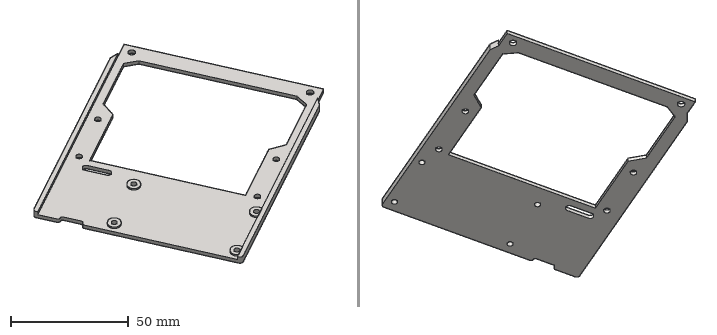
import cadquery as cq

LENGTH = 115.0
WIDTH = 94.0
HEIGHT = 3.6
PLATE_THICKNESS = 2.0

RAIL_WIDTH = 2.2
RAIL_END_Y = 107.0
RAIL_TAPER_LENGTH = 3.8
FRONT_CORNER_RADIUS = 1.5

WINDOW_FRONT_Y = 40.0
WINDOW_BACK_Y = 107.0
WINDOW_NARROW_HALF = 35.0
WINDOW_WIDE_HALF = 41.0
WINDOW_BACK_HALF = 35.4
STEP_START_Y = 71.0
STEP_END_Y = 76.1
BACK_CORNER_Y = 103.3

HOLE_X = 40.0
BACK_HOLE_Y = 111.1
BACK_HOLE_DIAMETER = 3.1
SIDE_HOLE_YS = (40.9, 66.0)
SIDE_HOLE_DIAMETER = 2.8

BOSS_XS = (-12.1, 43.0)
BOSS_YS = (4.8, 30.8)
BOSS_DIAMETER = 6.0
BOSS_HOLE_DIAMETER = 2.5
BOSS_HEIGHT = 0.8

SLOT_X = -30.0
SLOT_Y = 35.0
SLOT_LENGTH = 13.0
SLOT_WIDTH = 3.1

NOTCH_LEFT_X = -35.1
NOTCH_RIGHT_X = -25.0
NOTCH_DEPTH = 2.1

HALF_WIDTH = WIDTH / 2
PLATE_HALF = HALF_WIDTH - RAIL_WIDTH


def make_base():
    """Plate with the two full-height rails along its sides."""
    plate = cq.Workplane("XY").box(2 * PLATE_HALF, LENGTH, PLATE_THICKNESS, centered=(True, False, False))
    right_rail = (
        cq.Workplane("XY")
        .moveTo(PLATE_HALF, 0)
        .lineTo(HALF_WIDTH - FRONT_CORNER_RADIUS, 0)
        .radiusArc((HALF_WIDTH, FRONT_CORNER_RADIUS), -FRONT_CORNER_RADIUS)
        .lineTo(HALF_WIDTH, RAIL_END_Y - RAIL_TAPER_LENGTH)
        .lineTo(PLATE_HALF, RAIL_END_Y)
        .close()
        .extrude(HEIGHT)
    )
    return plate.union(right_rail).union(right_rail.mirror("YZ"))


def make_window():
    right_side = [
        (WINDOW_NARROW_HALF, WINDOW_FRONT_Y),
        (WINDOW_NARROW_HALF, STEP_START_Y),
        (WINDOW_WIDE_HALF, STEP_END_Y),
        (WINDOW_WIDE_HALF, BACK_CORNER_Y),
        (WINDOW_BACK_HALF, WINDOW_BACK_Y),
    ]
    left_side = [(-x, y) for x, y in reversed(right_side)]
    return cq.Workplane("XY").polyline(right_side + left_side).close().extrude(HEIGHT)


def make_mounting_holes():
    back_points = [(side * HOLE_X, BACK_HOLE_Y) for side in (-1, 1)]
    side_points = [(side * HOLE_X, y) for side in (-1, 1) for y in SIDE_HOLE_YS]
    back = cq.Workplane("XY").pushPoints(back_points).circle(BACK_HOLE_DIAMETER / 2).extrude(HEIGHT)
    sides = cq.Workplane("XY").pushPoints(side_points).circle(SIDE_HOLE_DIAMETER / 2).extrude(HEIGHT)
    return back.union(sides)


def make_slot():
    return cq.Workplane("XY").center(SLOT_X, SLOT_Y).slot2D(SLOT_LENGTH, SLOT_WIDTH).extrude(HEIGHT)


def make_notch():
    radius = NOTCH_DEPTH / 2
    return (
        cq.Workplane("XY")
        .moveTo(NOTCH_LEFT_X - radius, 0)
        .radiusArc((NOTCH_LEFT_X, radius), -radius)
        .radiusArc((NOTCH_LEFT_X + radius, NOTCH_DEPTH), radius)
        .lineTo(NOTCH_RIGHT_X - radius, NOTCH_DEPTH)
        .radiusArc((NOTCH_RIGHT_X, radius), radius)
        .radiusArc((NOTCH_RIGHT_X + radius, 0), -radius)
        .close()
        .extrude(HEIGHT)
    )


def add_bosses(body):
    """Add the standoffs and drill each one through the plate."""
    points = [(x, y) for x in BOSS_XS for y in BOSS_YS]
    layout = cq.Workplane("XY").pushPoints(points)
    bosses = layout.circle(BOSS_DIAMETER / 2).extrude(PLATE_THICKNESS + BOSS_HEIGHT)
    holes = layout.circle(BOSS_HOLE_DIAMETER / 2).extrude(HEIGHT)
    return body.union(bosses).cut(holes)


body = make_base()
for opening in (make_window(), make_mounting_holes(), make_slot(), make_notch()):
    body = body.cut(opening)
result = add_bosses(body)